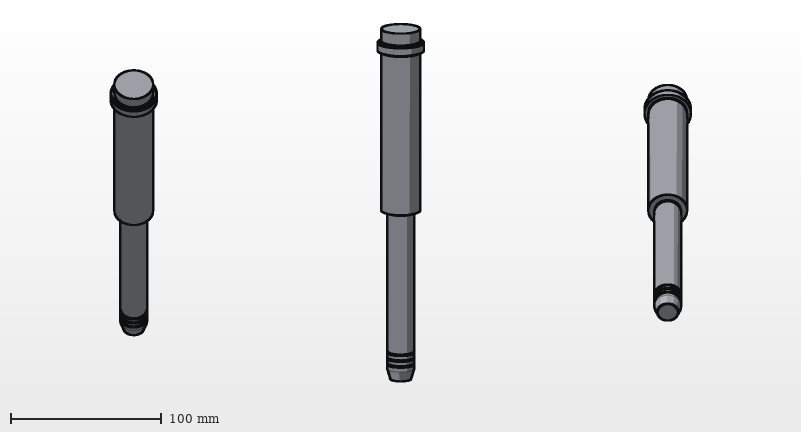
import cadquery as cq

total_length = 240.0
body_radius = 13.0
rod_radius = 9.0

collar_radius = 15.48
collar_top = 231.0
collar_bottom = 225.0
collar_chamfer = 0.7

upper_relief_width = 0.7
lower_relief_width = 1.2
relief_depth = 0.2

body_edge_chamfer = 0.12

body_bottom = 115.5
neck_length = 1.5
neck_depth = 0.5

groove_count = 3
groove_pitch = 12 / 3
lowest_groove_center = 10.5
groove_width = 1.2
groove_depth = 0.35

nose_length = 7.0
nose_tip_radius = 7.0
nose_tip_chamfer = 0.2


def cylinder(radius, bottom, top):
    """Solid cylinder on the Z axis between two heights."""
    return cq.Workplane("XY").workplane(offset=bottom).circle(radius).extrude(top - bottom)


def revolve_outline(points):
    """Turn a closed (radius, height) outline around the Z axis."""
    return cq.Workplane("XZ").polyline(points).close().revolve(360, (0, 0, 0), (0, 1, 0))


def v_groove(radius, center, width, depth):
    """Triangular ring that cuts a V into a shaft of the given radius."""
    return revolve_outline(
        [
            (radius, center - width / 2),
            (radius - depth, center),
            (radius, center + width / 2),
        ]
    )


def make_rod():
    """Rod with a tapered nose, oil grooves and an undercut neck at its upper end."""
    neck_bottom = body_bottom - neck_length
    neck_radius = rod_radius - neck_depth
    rod = revolve_outline(
        [
            (0, 0),
            (nose_tip_radius, 0),
            (rod_radius, nose_length),
            (rod_radius, neck_bottom),
            (neck_radius, neck_bottom),
            (neck_radius, body_bottom),
            (0, body_bottom),
        ]
    )
    rod = rod.faces("<Z").edges().chamfer(nose_tip_chamfer)
    for index in range(groove_count):
        center = lowest_groove_center + index * groove_pitch
        rod = rod.cut(v_groove(rod_radius, center, groove_width, groove_depth))
    return rod


def make_body():
    """Thick upper body with a V relief on each side of the collar."""
    body = cylinder(body_radius, body_bottom, total_length)
    body = body.faces("<Z or >Z").edges().chamfer(body_edge_chamfer)
    upper_center = collar_top + upper_relief_width / 2
    lower_center = collar_bottom - lower_relief_width / 2
    body = body.cut(v_groove(body_radius, upper_center, upper_relief_width, relief_depth))
    return body.cut(v_groove(body_radius, lower_center, lower_relief_width, relief_depth))


def make_collar():
    """Collar with its upper outer edge chamfered."""
    collar = cylinder(collar_radius, collar_bottom, collar_top)
    return collar.faces(">Z").edges().chamfer(collar_chamfer)


result = make_rod().union(make_body()).union(make_collar())